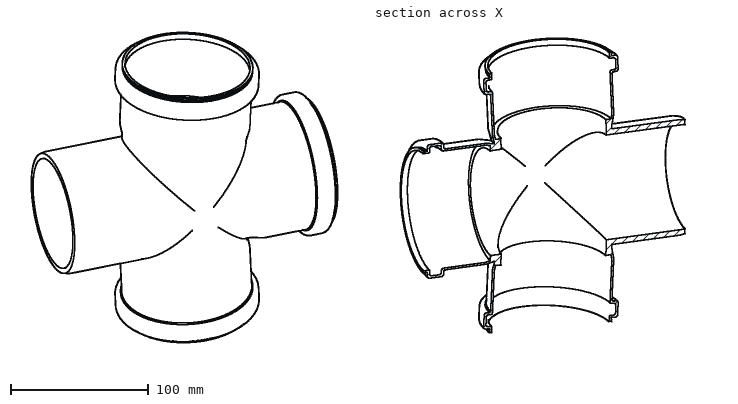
import cadquery as cq
import math

height = 209.9
run_length = 203.0

pipe_radius = 90.5 / 2
bore_radius = 81.2 / 2
spigot_chamfer_length = 4.2
spigot_chamfer_depth = 0.8

branch_tilt = 2.5
barrel_radius = 94.6 / 2
lip_radius = 95.0 / 2
tilt_radians = math.radians(branch_tilt)
socket_reach = (height / 2 - lip_radius * math.sin(tilt_radians)) / math.cos(tilt_radians)
spigot_length = run_length - socket_reach
socket_bore_radius = 90.9 / 2
taper_start = 45.1
taper_end = 54.1
stop_radius = 44.7
stop_height = 51.2
cavity_taper_end = 54.8

bead_radius = 104.5 / 2
groove_radius = 100.3 / 2
bead_wall = bead_radius - groove_radius
lip_length = 3.0
bead_length = 13.0
bead_round = 2.0
neck_length = 0.8
lip_band = 1.5
groove_corner_round = 1.5
groove_entry_round = 1.9
lip_inner_round = 1.0
bead_top = socket_reach - lip_length
bead_bottom = bead_top - bead_length


def revolve_profile(profile):
    """Turn a closed (radius, height) outline around Z."""
    return profile.close().revolve(360, (0, 0, 0), (0, 1, 0)).rotate((0, 0, 0), (1, 0, 0), 90)


def socket_outer():
    """Solid envelope of a socket arm pointing along +Z."""
    profile = (
        cq.Workplane("XY")
        .lineTo(pipe_radius, 0)
        .lineTo(pipe_radius, taper_start)
        .lineTo(barrel_radius, taper_end)
        .lineTo(barrel_radius, bead_bottom - neck_length)
        .lineTo(barrel_radius + neck_length, bead_bottom)
        .lineTo(bead_radius - bead_round, bead_bottom)
        .radiusArc((bead_radius, bead_bottom + bead_round), -bead_round)
        .lineTo(bead_radius, bead_top - bead_round)
        .radiusArc((bead_radius - bead_round, bead_top), -bead_round)
        .lineTo(barrel_radius, bead_top)
        .lineTo(barrel_radius, socket_reach - lip_band)
        .lineTo(lip_radius, socket_reach - lip_band)
        .lineTo(lip_radius, socket_reach)
        .lineTo(0, socket_reach)
    )
    return revolve_profile(profile)


def socket_cavity():
    """Hollow of a socket arm: bore, stop ledge, taper, socket bore and seal groove."""
    groove_bottom = bead_bottom + bead_wall
    groove_top = bead_top - bead_wall
    profile = (
        cq.Workplane("XY")
        .lineTo(bore_radius, 0)
        .lineTo(bore_radius, stop_height)
        .lineTo(stop_radius, stop_height)
        .lineTo(socket_bore_radius, cavity_taper_end)
        .lineTo(socket_bore_radius, groove_bottom - groove_entry_round)
        .radiusArc((socket_bore_radius + groove_entry_round, groove_bottom), groove_entry_round)
        .lineTo(groove_radius - groove_corner_round, groove_bottom)
        .radiusArc((groove_radius, groove_bottom + groove_corner_round), -groove_corner_round)
        .lineTo(groove_radius, groove_top - groove_corner_round)
        .radiusArc((groove_radius - groove_corner_round, groove_top), -groove_corner_round)
        .lineTo(socket_bore_radius + lip_inner_round, groove_top)
        .radiusArc((socket_bore_radius, groove_top + lip_inner_round), lip_inner_round)
        .lineTo(socket_bore_radius, socket_reach)
        .lineTo(0, socket_reach)
    )
    return revolve_profile(profile)


def spigot_outer():
    """Plain pipe end along -Y with a tapered tip."""
    tip_radius = pipe_radius - spigot_chamfer_depth
    profile = (
        cq.Workplane("XY")
        .lineTo(pipe_radius, 0)
        .lineTo(pipe_radius, spigot_length - spigot_chamfer_length)
        .lineTo(tip_radius, spigot_length)
        .lineTo(0, spigot_length)
    )
    return tilt(revolve_profile(profile), 90)


def spigot_cavity():
    return cq.Workplane("XZ").circle(bore_radius).extrude(spigot_length)


def tilt(arm, angle):
    """Swing an arm from +Z towards -Y by the given angle."""
    return arm.rotate((0, 0, 0), (1, 0, 0), angle)


def join_arms(spigot, socket):
    """Join the spigot, the opposite run socket and the two leaning branches."""
    branch_angles = (-branch_tilt, branch_tilt - 180)
    joined = spigot.union(tilt(socket, -90))
    for angle in branch_angles:
        joined = joined.union(tilt(socket, angle))
    return joined


body = join_arms(spigot_outer(), socket_outer())
cavity = join_arms(spigot_cavity(), socket_cavity())
result = body.cut(cavity)